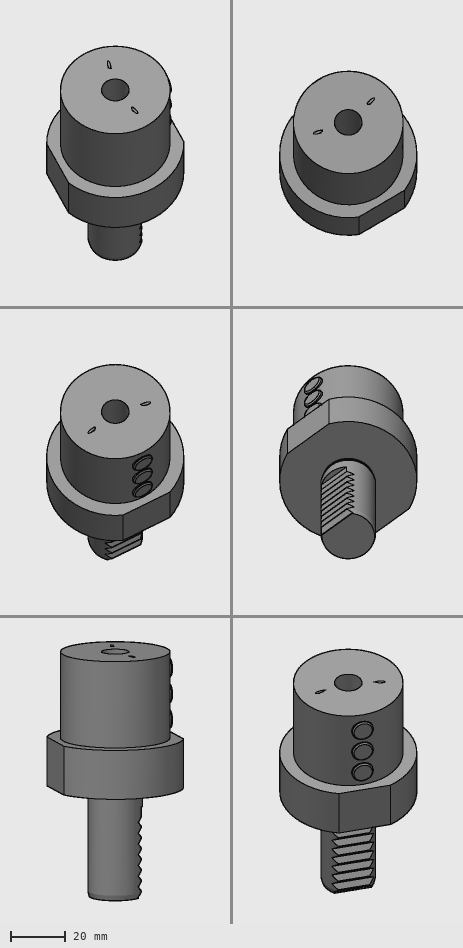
import cadquery as cq
import math

total_height = 90.6
body_diameter = 39.95
body_height = 32.0
flange_diameter = 50.0
flange_height = 18.1
flange_flat_distance = 23.0
clocking_angle = 0.8

shank_diameter = 20.0
shank_end_diameter = 19.1
lower_taper_length = 1.9
upper_taper_length = 1.4
neck_height = 0.8
neck_groove_diameter = 18.6
neck_groove_width = 0.3

rack_flat_distance = 8.1
rack_flat_top = 33.5
tooth_pitch = 4.0
tooth_groove_count = 8
groove_depth = 1.8
lowest_groove_height = 0.4

bore_diameter = 10.0
bore_depth = 40.0

screw_diameter = 8.0
screw_protrusion = 0.9
screw_chamfer = 0.5
screw_embedment = 2.7
screw_pitch = 9.5
screw_count = 3
middle_screw_height = 74.1

coolant_diameter = 1.1
coolant_slope = 18.0
coolant_exit_radius = 11.7
coolant_direction = 13.0
coolant_depth = 5.4

flange_top = total_height - body_height
flange_bottom = flange_top - flange_height
neck_bottom = flange_bottom - neck_height
body_radius = body_diameter / 2
shank_radius = shank_diameter / 2
shank_end_radius = shank_end_diameter / 2


def turned_blank():
    """Shank, flange and body as one revolved half-section."""
    flange_radius = flange_diameter / 2
    groove_radius = neck_groove_diameter / 2
    groove_bottom = neck_bottom + (neck_height - neck_groove_width) / 2
    groove_top = groove_bottom + neck_groove_width
    half_section = [
        (0, 0),
        (shank_end_radius, 0),
        (shank_radius, lower_taper_length),
        (shank_radius, neck_bottom - upper_taper_length),
        (shank_end_radius, neck_bottom),
        (shank_end_radius, groove_bottom),
        (groove_radius, groove_bottom),
        (groove_radius, groove_top),
        (shank_end_radius, groove_top),
        (shank_end_radius, flange_bottom),
        (flange_radius, flange_bottom),
        (flange_radius, flange_top),
        (body_radius, flange_top),
        (body_radius, total_height),
        (0, total_height),
    ]
    return cq.Workplane("XZ").polyline(half_section).close().revolve(360, (0, 0, 0), (0, 1, 0))


def flange_flat_cutter(side):
    """Block removing the flange beyond one wrench flat; side is +1 or -1 along Y."""
    block = cq.Workplane("XY").box(flange_diameter, flange_diameter, flange_height)
    block_y = side * (flange_flat_distance + flange_diameter / 2)
    return block.translate((0, block_y, flange_bottom + flange_height / 2))


def rack_cutter():
    """Flat on the +Y side of the shank with V-grooves between the teeth."""
    outer = shank_diameter
    floor = rack_flat_distance - groove_depth
    flat = cq.Workplane("YZ").polyline([
        (rack_flat_distance, 0),
        (outer, 0),
        (outer, rack_flat_top),
        (rack_flat_distance, rack_flat_top),
    ]).close().extrude(shank_radius, both=True)
    for index in range(tooth_groove_count):
        middle = lowest_groove_height + index * tooth_pitch
        groove = cq.Workplane("YZ").polyline([
            (floor, middle),
            (rack_flat_distance, middle - groove_depth),
            (rack_flat_distance, middle + groove_depth),
        ]).close().extrude(shank_radius, both=True)
        flat = flat.union(groove)
    return flat


def clamp_screw(height):
    """Chamfered end of a clamping screw standing out of the +Y side of the body."""
    length = screw_embedment + screw_protrusion
    screw = cq.Workplane("XZ").circle(screw_diameter / 2).extrude(-length)
    screw = screw.faces(">Y").chamfer(screw_chamfer)
    return screw.translate((0, body_radius - screw_embedment, height))


def coolant_hole(side):
    """Slanted hole rising outwards to the top face; side is +1 or -1 along X."""
    turn = math.radians(coolant_direction)
    slope = math.radians(coolant_slope)
    outward = cq.Vector(side * math.cos(turn), math.sin(turn), 0)
    exit_point = outward * coolant_exit_radius + cq.Vector(0, 0, total_height)
    rising = outward * math.cos(slope) + cq.Vector(0, 0, math.sin(slope))
    start = exit_point - rising * coolant_depth
    hole = cq.Solid.makeCylinder(coolant_diameter / 2, 2 * coolant_depth, start, rising)
    return cq.Workplane(obj=hole)


part = turned_blank()
for side in (-1, 1):
    part = part.cut(flange_flat_cutter(side))
part = part.cut(rack_cutter())

bore = cq.Workplane("XY").circle(bore_diameter / 2).extrude(bore_depth)
part = part.cut(bore.translate((0, 0, total_height - bore_depth)))

for index in range(screw_count):
    steps_from_middle = index - (screw_count - 1) / 2
    part = part.union(clamp_screw(middle_screw_height + steps_from_middle * screw_pitch))

for side in (-1, 1):
    part = part.cut(coolant_hole(side))

result = part.rotate((0, 0, 0), (0, 0, 1), clocking_angle)